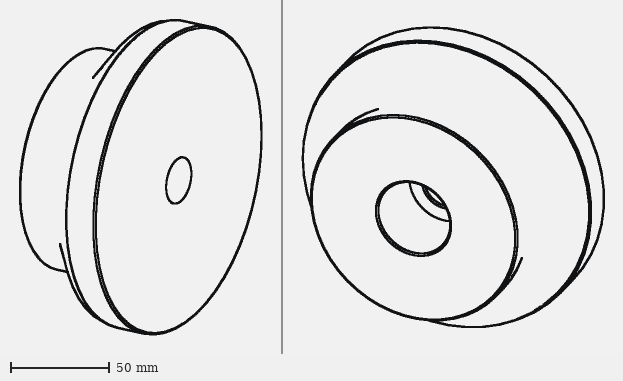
import cadquery as cq
import math

length = 60.0
flange_radius = 80.0
hub_radius = 57.5
edge_chamfer = 1.0

relief_start = 11.7
relief_length = 1.3
relief_angle = math.radians(15)
root_fillet = 9.99
cone_angle = math.radians(50)

rim_radius = 79.0
rim_fillet = 1.9
flange_start = 42.4
flange_chamfer = 0.5

counterbore_radius = 20.0
counterbore_depth = 40.0
bore_radius = 12.0


def fillet_point(center, radius, angle):
    """Point on a fillet, at an angle turned from +radial toward +X."""
    x, r = center
    return (x + radius * math.sin(angle), r + radius * math.cos(angle))


def make_body():
    """Solid of revolution from the outer profile, in (X, radius) coordinates."""
    relief_end = relief_start + relief_length
    relief_radius = hub_radius - relief_length * math.tan(relief_angle)

    root_center = (
        relief_end + root_fillet * math.sin(relief_angle),
        relief_radius + root_fillet * math.cos(relief_angle),
    )
    root_middle_angle = math.pi - (cone_angle - relief_angle) / 2
    root_middle = fillet_point(root_center, root_fillet, root_middle_angle)
    cone_start = fillet_point(root_center, root_fillet, math.pi - cone_angle)

    rim_center_radius = rim_radius - rim_fillet
    cone_end_radius = rim_center_radius + rim_fillet * math.cos(cone_angle)
    cone_end_x = cone_start[0] + (cone_end_radius - cone_start[1]) / math.tan(cone_angle)
    rim_center = (cone_end_x + rim_fillet * math.sin(cone_angle), rim_center_radius)
    rim_middle = fillet_point(rim_center, rim_fillet, -cone_angle / 2)

    profile = (
        cq.Workplane("XY")
        .moveTo(0, 0)
        .lineTo(0, hub_radius - edge_chamfer)
        .lineTo(edge_chamfer, hub_radius)
        .lineTo(relief_start, hub_radius)
        .lineTo(relief_end, relief_radius)
        .threePointArc(root_middle, cone_start)
        .lineTo(cone_end_x, cone_end_radius)
        .threePointArc(rim_middle, (rim_center[0], rim_radius))
        .lineTo(flange_start, rim_radius)
        .lineTo(flange_start, flange_radius - flange_chamfer)
        .lineTo(flange_start + flange_chamfer, flange_radius)
        .lineTo(length - edge_chamfer, flange_radius)
        .lineTo(length, flange_radius - edge_chamfer)
        .lineTo(length, 0)
        .close()
    )
    return profile.revolve(360, (0, 0, 0), (1, 0, 0))


def make_hole(start, depth, radius):
    """Cylinder along +X with a chamfered mouth at its start."""
    mouth_radius = radius + edge_chamfer
    profile = (
        cq.Workplane("XY")
        .moveTo(start, 0)
        .lineTo(start, mouth_radius)
        .lineTo(start + edge_chamfer, radius)
        .lineTo(start + depth, radius)
        .lineTo(start + depth, 0)
        .close()
    )
    return profile.revolve(360, (0, 0, 0), (1, 0, 0))


counterbore = make_hole(0, counterbore_depth, counterbore_radius)
bore = make_hole(counterbore_depth, length - counterbore_depth, bore_radius)

result = make_body().cut(counterbore).cut(bore)